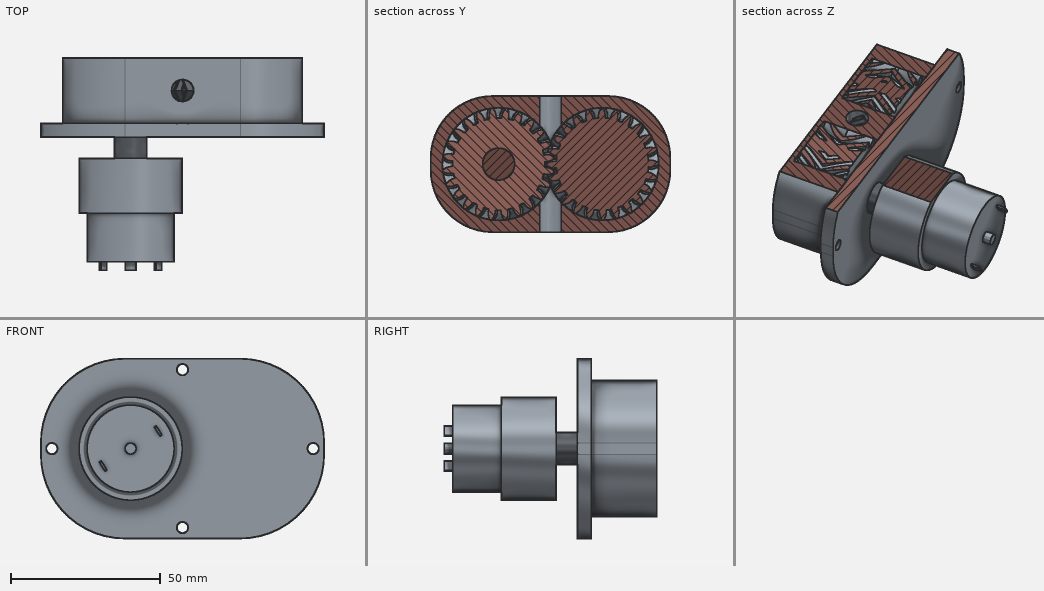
import cadquery as cq
import math


plate_length = 94.5
plate_height = 60.0
plate_radius = 28.1
plate_thickness = 4.6
flange_width = 7.3
housing_length = plate_length - 2 * flange_width
housing_height = plate_height - 2 * flange_width
housing_radius = plate_radius - flange_width
housing_depth = 21.8
back_wall = 1.9

screw_hole_diameter = 3.7
screw_inset = 3.7
screw_offset_x = plate_length / 2 - screw_inset
screw_offset_z = plate_height / 2 - screw_inset

port_diameter = 7.3
port_y = housing_depth / 2

gear_offset = 17.3
pitch_radius = gear_offset
tooth_count = 24
pitch_angle = 360 / tooth_count
gear_module = 2 * pitch_radius / tooth_count
tip_radius = pitch_radius + gear_module
dedendum_ratio = 1.25
root_radius = pitch_radius - dedendum_ratio * gear_module
pressure_angle = 20.0
base_radius = pitch_radius * math.cos(math.radians(pressure_angle))
backlash_angle = 0.4
pitch_half_angle = pitch_angle / 4 - backlash_angle / 2
flank_steps = 3
helix_angle = 35.0
end_gap = back_wall
gear_width = housing_depth - back_wall - end_gap
gear_middle_y = end_gap + gear_width / 2
half_width = gear_width / 2
half_twist = math.degrees(half_width * math.tan(math.radians(helix_angle)) / pitch_radius)
drive_phase = 9.0
idler_phase = 180 - drive_phase + pitch_angle / 2

shaft_diameter = 10.9
shaft_gap = 7.1
gearbox_diameter = 34.4
gearbox_length = 18.2
can_diameter = 29.0
can_length = 16.25
terminal_length = 2.8
boss_diameter = 3.7
terminal_width = 3.6
terminal_thickness = 0.8
terminal_offset = 10.9
terminal_angle = 32.5

motor_x = -gear_offset
gearbox_y = -plate_thickness - shaft_gap
can_y = gearbox_y - gearbox_length
terminal_y = can_y - can_length


def plane_facing_front(x, y):
    """Workplane at (x, y) whose local axes are X and Z, and which extrudes toward -Y."""
    return cq.Workplane("XZ", origin=(x, y, 0))


def rounded_slab(length, height, radius, front_y, depth):
    slab = plane_facing_front(0, front_y + depth).rect(length, height).extrude(depth)
    return slab.edges("|Y").fillet(radius)


def cylinder(x, front_y, diameter, length):
    return plane_facing_front(x, front_y + length).circle(diameter / 2).extrude(length)


def make_plate():
    plate = rounded_slab(plate_length, plate_height, plate_radius, -plate_thickness, plate_thickness)
    screw_points = [(screw_offset_x, 0), (-screw_offset_x, 0), (0, screw_offset_z), (0, -screw_offset_z)]
    screws = plane_facing_front(0, 0).pushPoints(screw_points).circle(screw_hole_diameter / 2)
    shaft_hole = cylinder(motor_x, -plate_thickness, shaft_diameter, plate_thickness)
    return plate.cut(screws.extrude(plate_thickness)).cut(shaft_hole)


def make_housing():
    housing = rounded_slab(housing_length, housing_height, housing_radius, 0, housing_depth)
    for gear_x in (-gear_offset, gear_offset):
        housing = housing.cut(cylinder(gear_x, 0, 2 * tip_radius, housing_depth - back_wall))
    port = cq.Workplane("XY", origin=(0, port_y, 0)).circle(port_diameter / 2)
    return housing.cut(port.extrude(housing_height, both=True))


def polar_point(radius, angle):
    return (radius * math.cos(math.radians(angle)), radius * math.sin(math.radians(angle)))


def involute_angle(radius):
    """Angle, in degrees, that the involute of the base circle has swept on reaching a radius."""
    pressure = math.acos(base_radius / radius)
    return math.degrees(math.tan(pressure) - pressure)


def tooth_half_angle(radius):
    return pitch_half_angle + involute_angle(pitch_radius) - involute_angle(radius)


def flank_points(centre, side):
    """Points along one involute flank, from base circle to tip. Side is -1 or 1."""
    radii = [base_radius + (tip_radius - base_radius) * step / flank_steps for step in range(flank_steps + 1)]
    return [polar_point(radius, centre + side * tooth_half_angle(radius)) for radius in radii]


def draw_gear_outline(plane, phase):
    """Closed outline of all the teeth, the first tooth centred on the phase angle."""
    foot_half_angle = tooth_half_angle(base_radius)
    outline = plane.moveTo(*polar_point(root_radius, phase - foot_half_angle))
    for tooth in range(tooth_count):
        centre = phase + tooth * pitch_angle
        rising = flank_points(centre, -1)
        falling = flank_points(centre, 1)[::-1]
        outline = outline.lineTo(*rising[0]).spline(rising[1:], includeCurrent=True)
        outline = outline.lineTo(*falling[0]).spline(falling[1:], includeCurrent=True)
        outline = outline.lineTo(*polar_point(root_radius, centre + foot_half_angle))
        if tooth < tooth_count - 1:
            outline = outline.lineTo(*polar_point(root_radius, centre + pitch_angle - foot_half_angle))
    return outline.close()


def make_gear(x, phase, twist):
    """Two mirrored helical halves that meet at the middle of the gear's width."""
    outline = draw_gear_outline(plane_facing_front(x, gear_middle_y), phase)
    front_half = outline.twistExtrude(half_width, twist)
    back_half = front_half.mirror("XZ", (0, gear_middle_y, 0))
    return front_half.union(back_half)


def make_drive_gear():
    gear = make_gear(-gear_offset, drive_phase, -half_twist)
    return gear.cut(cylinder(motor_x, end_gap, shaft_diameter, gear_width))


def make_idler_gear():
    return make_gear(gear_offset, idler_phase, half_twist)


def make_motor():
    shaft_end_y = gear_middle_y + half_width
    motor = cylinder(motor_x, gearbox_y, shaft_diameter, shaft_end_y - gearbox_y)
    motor = motor.union(cylinder(motor_x, can_y, gearbox_diameter, gearbox_length))
    motor = motor.union(cylinder(motor_x, terminal_y, can_diameter, can_length))
    motor = motor.union(cylinder(motor_x, terminal_y - terminal_length, boss_diameter, terminal_length))
    terminals = (
        plane_facing_front(motor_x, terminal_y)
        .transformed(rotate=(0, 0, terminal_angle))
        .pushPoints([(-terminal_offset, 0), (terminal_offset, 0)])
        .rect(terminal_thickness, terminal_width)
        .extrude(terminal_length)
    )
    return motor.union(terminals)


plate = make_plate()
housing = make_housing()
motor = make_motor()
drive_gear = make_drive_gear()
idler_gear = make_idler_gear()

result = cq.Compound.makeCompound(
    [plate.val(), housing.val(), motor.val(), drive_gear.val(), idler_gear.val()]
)